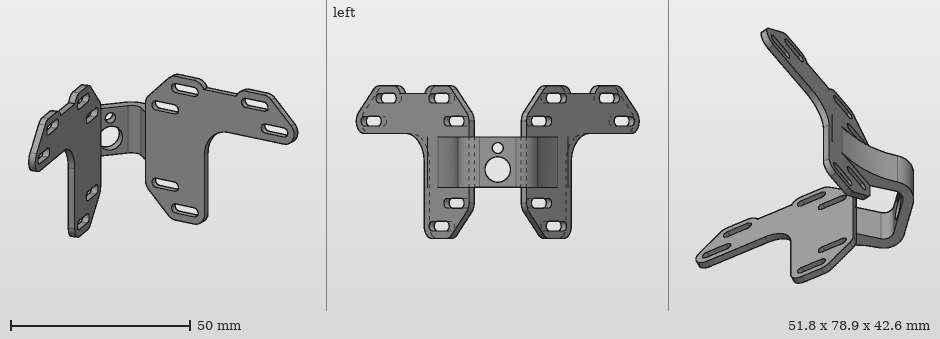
import cadquery as cq
import math

LENGTH_X = 51.75
HALF_WIDTH = 39.45

STRAP_HEIGHT = 14.05
WALL = 3.0
CHANNEL_HALF_WIDTH = 8.05
INNER_CORNER_RADIUS = 2.9
FLARE_RADIUS = 29.8
FLARE_END_X = 26.8
OUTER_HALF_WIDTH = CHANNEL_HALF_WIDTH + WALL
OUTER_CORNER_RADIUS = INNER_CORNER_RADIUS + WALL

MAIN_HOLE_DIAMETER = 7.0
MAIN_HOLE_Z = -2.05
SMALL_HOLE_DIAMETER = 3.0
SMALL_HOLE_Z = 3.95

WING_ANGLE = 40
WING_THICKNESS = 2.0
HALF_HEIGHT = 21.3
SLOT_WIDTH = 2.7
SLOT_TRAVEL = 6.0
EDGE_MARGIN = 3.5
SLOT_STAGGER = 6.5
LOW_ROW_Z = 11.4
LEG_FILLET = 8.0
NOTCH_FLOOR_Z = 19.2

COS_WING = math.cos(math.radians(WING_ANGLE))
SIN_WING = math.sin(math.radians(WING_ANGLE))
WING_LENGTH = (HALF_WIDTH - CHANNEL_HALF_WIDTH) / SIN_WING
WING_START_X = LENGTH_X - WING_LENGTH * COS_WING - WING_THICKNESS * SIN_WING

HIGH_ROW_Z = HALF_HEIGHT - EDGE_MARGIN
NEAR_LOW = EDGE_MARGIN
NEAR_HIGH = NEAR_LOW + SLOT_STAGGER
FAR_LOW = WING_LENGTH - EDGE_MARGIN - SLOT_TRAVEL
FAR_HIGH = FAR_LOW - SLOT_STAGGER
SLOTS = [
    (NEAR_LOW, LOW_ROW_Z),
    (NEAR_HIGH, HIGH_ROW_Z),
    (FAR_HIGH, HIGH_ROW_Z),
    (FAR_LOW, LOW_ROW_Z),
    (NEAR_LOW, -LOW_ROW_Z),
    (NEAR_HIGH, -HIGH_ROW_Z),
]


def wing_point(along, depth):
    """XY point of the +Y wing: distance along its outer face, depth below that face."""
    x = WING_START_X + along * COS_WING + depth * SIN_WING
    y = CHANNEL_HALF_WIDTH + along * SIN_WING - depth * COS_WING
    return (x, y)


def wing_plane():
    """Sketch plane on the outer face of the +Y wing; its normal points into the plate."""
    return cq.Plane(
        origin=(WING_START_X, CHANNEL_HALF_WIDTH, 0),
        xDir=(COS_WING, SIN_WING, 0),
        normal=(SIN_WING, -COS_WING, 0),
    )


def wing():
    """L-shaped slotted plate on the +Y side."""
    plane = wing_plane()
    leg_end = NEAR_HIGH + SLOT_TRAVEL
    slot_end_loop = [
        (NEAR_LOW, LOW_ROW_Z),
        (NEAR_HIGH, HIGH_ROW_Z),
        (FAR_HIGH + SLOT_TRAVEL, HIGH_ROW_Z),
        (FAR_LOW + SLOT_TRAVEL, LOW_ROW_Z),
        (leg_end, LOW_ROW_Z),
        (leg_end, -HIGH_ROW_Z),
        (NEAR_HIGH, -HIGH_ROW_Z),
        (NEAR_LOW, -LOW_ROW_Z),
    ]
    plate = (
        cq.Workplane(plane)
        .polyline(slot_end_loop)
        .close()
        .offset2D(EDGE_MARGIN, "arc")
        .extrude(WING_THICKNESS)
    )

    inside_corner = plane.toWorldCoords(
        (leg_end + EDGE_MARGIN, LOW_ROW_Z - EDGE_MARGIN, WING_THICKNESS / 2)
    )
    plate = plate.edges(cq.NearestToPointSelector(inside_corner.toTuple())).fillet(LEG_FILLET)

    notch_height = HALF_HEIGHT - NOTCH_FLOOR_Z
    notch = (
        cq.Workplane(plane)
        .center((leg_end + FAR_HIGH) / 2, NOTCH_FLOOR_Z + notch_height / 2)
        .rect(FAR_HIGH - leg_end, notch_height)
        .extrude(WING_THICKNESS)
    )
    lobes = (
        cq.Workplane(plane)
        .pushPoints([(leg_end, HIGH_ROW_Z), (FAR_HIGH, HIGH_ROW_Z)])
        .circle(EDGE_MARGIN)
        .extrude(WING_THICKNESS)
    )
    slots = (
        cq.Workplane(plane)
        .pushPoints([(start + SLOT_TRAVEL / 2, z) for start, z in SLOTS])
        .slot2D(SLOT_TRAVEL + SLOT_WIDTH, SLOT_WIDTH)
        .extrude(WING_THICKNESS)
    )
    return plate.cut(notch.cut(lobes)).cut(slots)


def half_strap():
    """+Y half of the strap, its flare tangent to the side and running into the wing."""
    flare_center_y = OUTER_HALF_WIDTH + FLARE_RADIUS

    def flare_point(x):
        rise = math.sqrt(FLARE_RADIUS**2 - (x - OUTER_CORNER_RADIUS) ** 2)
        return (x, flare_center_y - rise)

    flare_end = flare_point(FLARE_END_X)
    along_end = (FLARE_END_X - WING_START_X) * COS_WING
    along_end += (flare_end[1] - CHANNEL_HALF_WIDTH) * SIN_WING
    outline = (
        cq.Workplane("XY")
        .moveTo(0, 0)
        .lineTo(0, OUTER_HALF_WIDTH - OUTER_CORNER_RADIUS)
        .radiusArc((OUTER_CORNER_RADIUS, OUTER_HALF_WIDTH), OUTER_CORNER_RADIUS)
        .threePointArc(flare_point((OUTER_CORNER_RADIUS + FLARE_END_X) / 2), flare_end)
        .lineTo(*wing_point(along_end, WING_THICKNESS / 2))
        .lineTo(*wing_point(0, 0))
        .lineTo(WALL + INNER_CORNER_RADIUS, CHANNEL_HALF_WIDTH)
        .radiusArc((WALL, CHANNEL_HALF_WIDTH - INNER_CORNER_RADIUS), -INNER_CORNER_RADIUS)
        .lineTo(WALL, 0)
        .close()
    )
    return outline.extrude(STRAP_HEIGHT / 2, both=True)


def wall_hole(diameter, z):
    """Cutter for a hole along X through the front wall."""
    return cq.Workplane("YZ").center(0, z).circle(diameter / 2).extrude(WALL)


half = half_strap().union(wing())
result = half.union(half.mirror("XZ"))
result = result.cut(wall_hole(MAIN_HOLE_DIAMETER, MAIN_HOLE_Z))
result = result.cut(wall_hole(SMALL_HOLE_DIAMETER, SMALL_HOLE_Z))